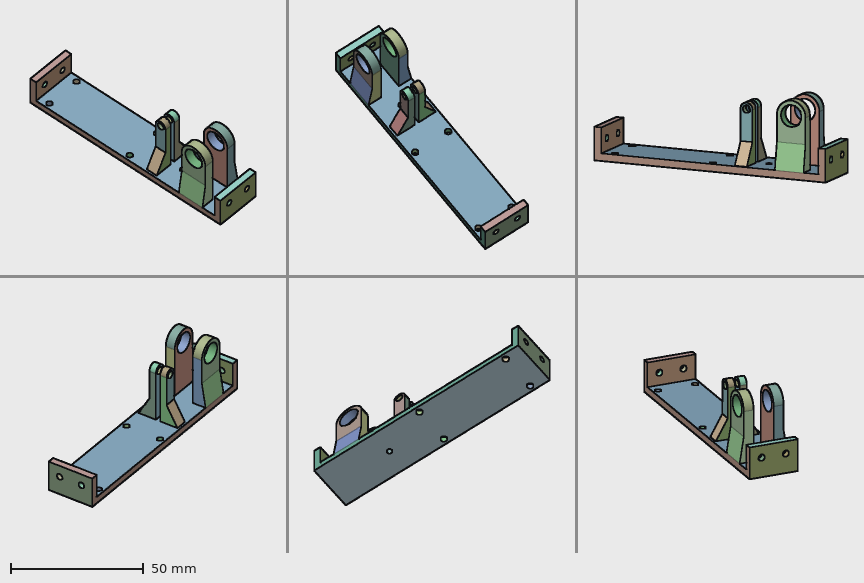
import cadquery as cq

length = 96.0
width = 20.0
floor_thickness = 3.0
wall_thickness = 3.0
wall_height = 13.0

mount_hole_diameter = 2.5
mount_hole_xs = (7.6, 48.2)
mount_hole_y = 7.7
center_hole_diameter = 2.0
center_hole_x = 68.0

wall_hole_diameter = 2.5
wall_hole_y = width / 4
wall_hole_z = 8.0

bore_z = 24.0

small_lug_x = 60.4
small_lug_width = 5.0
small_bore_diameter = 3.0
small_inner_y = 1.0
small_outer_y = 3.9
small_foot_y = 8.9
small_taper_z = 11.5

large_lug_x = 80.9
large_lug_width = 11.9
large_bore_diameter = 8.4
large_inner_y = 4.1
large_outer_y = 8.3
large_foot_y = width / 2
large_taper_z = 13.6


def make_channel():
    """U-shaped side profile extruded symmetrically across the width."""
    return (
        cq.Workplane("XZ")
        .moveTo(0, 0)
        .lineTo(length, 0)
        .lineTo(length, wall_height)
        .lineTo(length - wall_thickness, wall_height)
        .lineTo(length - wall_thickness, floor_thickness)
        .lineTo(wall_thickness, floor_thickness)
        .lineTo(wall_thickness, wall_height)
        .lineTo(0, wall_height)
        .close()
        .extrude(width / 2, both=True)
    )


def make_lug_pair(x, lug_width, bore_diameter, inner_y, outer_y, foot_y, taper_z):
    """Two mirrored, round-topped lugs whose outer faces slope out to a wider foot."""
    radius = lug_width / 2
    face = (
        cq.Workplane("XZ")
        .moveTo(x - radius, 0)
        .lineTo(x + radius, 0)
        .lineTo(x + radius, bore_z)
        .threePointArc((x, bore_z + radius), (x - radius, bore_z))
        .close()
        .extrude(foot_y, both=True)
    )
    bore = (
        cq.Workplane("XZ")
        .center(x, bore_z)
        .circle(bore_diameter / 2)
        .extrude(foot_y, both=True)
    )
    top_z = bore_z + radius
    section = (
        cq.Workplane("YZ", origin=(x, 0, 0))
        .moveTo(inner_y, 0)
        .lineTo(foot_y, 0)
        .lineTo(foot_y, floor_thickness)
        .lineTo(outer_y, taper_z)
        .lineTo(outer_y, top_z)
        .lineTo(inner_y, top_z)
        .close()
        .extrude(radius, both=True)
    )
    lug = section.intersect(face).cut(bore)
    return lug.union(lug.mirror("XZ"))


def make_floor_holes():
    mount_points = [(x, y) for x in mount_hole_xs for y in (-mount_hole_y, mount_hole_y)]
    mounts = (
        cq.Workplane("XY")
        .pushPoints(mount_points)
        .circle(mount_hole_diameter / 2)
        .extrude(floor_thickness)
    )
    center = (
        cq.Workplane("XY")
        .center(center_hole_x, 0)
        .circle(center_hole_diameter / 2)
        .extrude(floor_thickness)
    )
    return mounts.union(center)


def make_wall_holes(wall_x):
    """Two holes through the wall that starts at wall_x."""
    return (
        cq.Workplane("YZ", origin=(wall_x, 0, 0))
        .pushPoints([(-wall_hole_y, wall_hole_z), (wall_hole_y, wall_hole_z)])
        .circle(wall_hole_diameter / 2)
        .extrude(wall_thickness)
    )


small_lugs = make_lug_pair(
    small_lug_x, small_lug_width, small_bore_diameter,
    small_inner_y, small_outer_y, small_foot_y, small_taper_z,
)
large_lugs = make_lug_pair(
    large_lug_x, large_lug_width, large_bore_diameter,
    large_inner_y, large_outer_y, large_foot_y, large_taper_z,
)

result = make_channel().union(small_lugs).union(large_lugs).cut(make_floor_holes())
for wall_start in (0, length - wall_thickness):
    result = result.cut(make_wall_holes(wall_start))